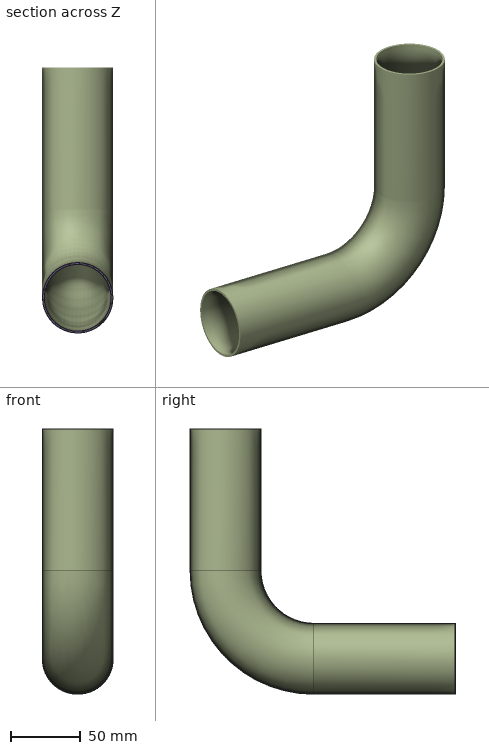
import cadquery as cq

overall_length = 190.5
outer_diameter = 50.9
inner_diameter = 47.6
straight_length = 101.7

bend_radius = overall_length - straight_length - outer_diameter / 2


def pipe_section(workplane):
    """Draw the ring-shaped cross-section of the pipe."""
    return workplane.circle(outer_diameter / 2).circle(inner_diameter / 2)


upright_leg = pipe_section(
    cq.Workplane("XY").center(0, -bend_radius)
).extrude(straight_length)

horizontal_leg = pipe_section(
    cq.Workplane("XZ").center(0, -bend_radius)
).extrude(-straight_length)

bend = pipe_section(
    cq.Workplane("XY").center(0, -bend_radius)
).revolve(90, (0, bend_radius, 0), (1, bend_radius, 0))

result = upright_leg.union(bend).union(horizontal_leg)